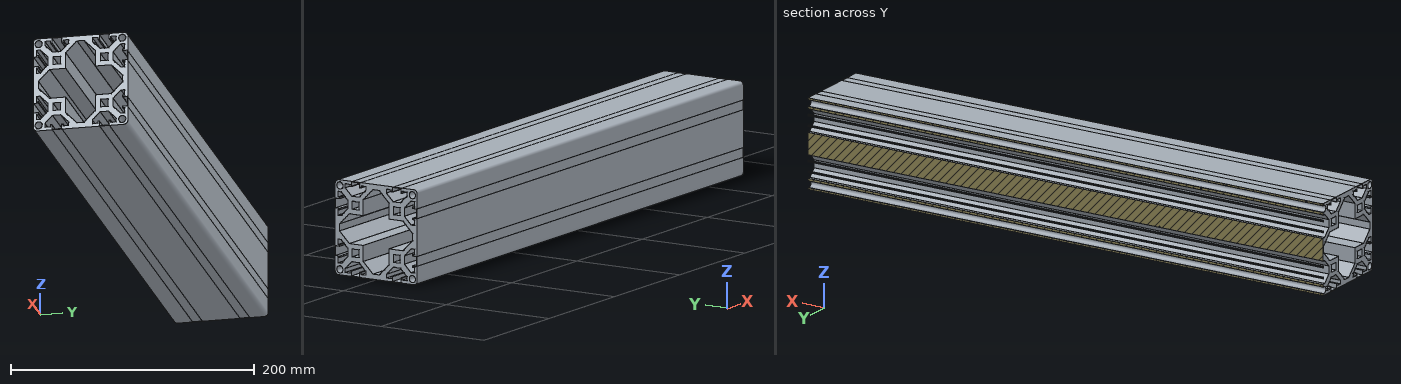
import cadquery as cq
import math

length = 500.0
width = 80.0
half_width = width / 2
quarter_turns = 4
right_angle = 90.0
corner_radius = 3.5

module_offset = 20.0
boss_half = 7.5
bore_side = 6.6
boss_inner = module_offset - boss_half
boss_outer = module_offset + boss_half

corner_web_thickness = 5.5
side_web_thickness = 4.0
side_web_inner_sum = 38.5
diagonal = math.sqrt(2)
side_web_outer_sum = side_web_inner_sum + side_web_thickness * diagonal
corner_web_difference = corner_web_thickness / 2 * diagonal

wall_inner = 35.5
skin_thickness = 0.5
mouth_half = 4.1
slot_half = 10.0
lip_inner = 37.25
nub_inner = 35.5
nub_width = 1.2

corner_hole_offset = 35.25
corner_hole_diameter = 6.0


def prism(points):
    """Extrude a closed cross-section outline, given as (y, z), along X."""
    return cq.Workplane("YZ").polyline(points).close().extrude(length)


def around_axis(body):
    """Repeat a body at four quarter turns about the X axis."""
    repeated = body
    for turn in range(1, quarter_turns):
        repeated = repeated.union(body.rotate((0, 0, 0), (1, 0, 0), right_angle * turn))
    return repeated


def outer_body():
    """Full-size bar with rounded long edges."""
    block = cq.Workplane("YZ").rect(width, width).extrude(length)
    return block.edges("|X").fillet(corner_radius)


def central_cavity():
    """Cross-shaped hollow whose arms taper at 45 degrees towards the outer walls."""
    wall_half = side_web_inner_sum - wall_inner
    web_end = side_web_inner_sum - boss_inner
    arm = prism([
        (wall_half, wall_inner),
        (boss_inner, web_end),
        (boss_inner, -web_end),
        (wall_half, -wall_inner),
        (-wall_half, -wall_inner),
        (-boss_inner, -web_end),
        (-boss_inner, web_end),
        (-wall_half, wall_inner),
    ])
    return arm.union(arm.rotate((0, 0, 0), (1, 0, 0), right_angle))


def slot():
    """T-slot above the boss at +Y, +Z."""
    near_side = module_offset - slot_half
    far_side = module_offset + slot_half
    near_nub = module_offset - mouth_half
    far_nub = module_offset + mouth_half
    mouth_top = half_width - skin_thickness
    return prism([
        (side_web_outer_sum - boss_outer, boss_outer),
        (boss_outer - corner_web_difference, boss_outer),
        (far_side, far_side + corner_web_difference),
        (far_side, lip_inner),
        (far_nub + nub_width, lip_inner),
        (far_nub + nub_width, nub_inner),
        (far_nub, nub_inner),
        (far_nub, mouth_top),
        (near_nub, mouth_top),
        (near_nub, nub_inner),
        (near_nub - nub_width, nub_inner),
        (near_nub - nub_width, lip_inner),
        (near_side, lip_inner),
        (near_side, side_web_outer_sum - near_side),
    ])


def boss_bore():
    """Square bore through the boss at +Y, +Z."""
    centre = cq.Workplane("YZ").center(module_offset, module_offset)
    return centre.rect(bore_side, bore_side).extrude(length)


def corner_hole():
    """Round hollow in the corner at +Y, +Z."""
    centre = cq.Workplane("YZ").center(corner_hole_offset, corner_hole_offset)
    return centre.circle(corner_hole_diameter / 2).extrude(length)


slots = slot().union(slot().mirror("XZ"))
result = outer_body().cut(central_cavity())
for hollow in (slots, boss_bore(), corner_hole()):
    result = result.cut(around_axis(hollow))